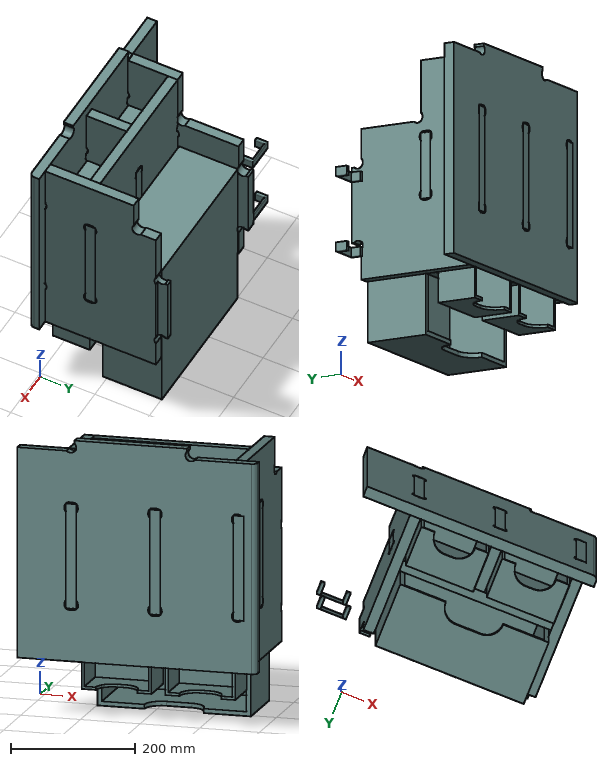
import cadquery as cq
import math

SHEET = 18.0
RELIEF_RADIUS = 9.5
CUT_SPAN = 936.0

HEIGHT = 350.0
FRONT_WIDTH = 400.0
LEFT_X = 81.5
RIGHT_OVERHANG = 20.0
BACK_Y = 220.5
SHELF_Y = 91.3
TAB_LENGTH = 174.0
FRONT_EDGE_RADIUS = 8.0

LEFT_INNER_X = LEFT_X + SHEET
RIGHT_X = FRONT_WIDTH - RIGHT_OVERHANG
RIGHT_INNER_X = RIGHT_X - SHEET
DIVIDER_X = (LEFT_INNER_X + RIGHT_INNER_X - SHEET) / 2
SHELF_BACK_Y = SHELF_Y + SHEET
MIDDLE_Z = HEIGHT / 2
TAB_Z = (MIDDLE_Z - TAB_LENGTH / 2, MIDDLE_Z + TAB_LENGTH / 2)

TOP_TAB_X = (96.0, 284.5)

LEFT_STEP_Z = 250.0
RIGHT_STEP_Y = 179.5
RIGHT_STEP_Z = 289.0
BACK_TAB_Z = (LEFT_STEP_Z / 4, LEFT_STEP_Z * 3 / 4)
RIGHT_BACK_TAB_THICKNESS = 10.8

SHELF_LEFT_TAB_LENGTH = 109.5
SHELF_LEFT_TAB_Z = (MIDDLE_Z - SHELF_LEFT_TAB_LENGTH / 2, MIDDLE_Z + SHELF_LEFT_TAB_LENGTH / 2)

DRAWER_GAP = 3.0
DRAWER_OPEN_GAP = 3.0
DRAWER_LENGTH = 300.0
LARGE_WALL = 7.5
LARGE_PULLOUT = 100.0
LARGE_GRIP_WIDTH = 99.0
LARGE_FAR_END_DROP = 1.5
SMALL_WALL = 4.5
SMALL_PULLOUT = LARGE_PULLOUT / 2
SMALL_GRIP_WIDTH = 70.0
GRIP_DEPTH = 28.0

CLIP_WIDTH = 51.0
CLIP_DEPTH = 20.0
CLIP_HEIGHT = 15.5
CLIP_LEG = 6.5
CLIP_WEB = 3.5
CLIP_EDGE_RADIUS = 0.7
CLIP_LOW_Z = 29.5
CLIP_SPACING = 125.0


def block(x, y, z):
    """Box between the (low, high) pairs of each axis."""
    size = (x[1] - x[0], y[1] - y[0], z[1] - z[0])
    return cq.Workplane("XY").box(*size, centered=False).translate((x[0], y[0], z[0]))


def reliefs(plane, corners):
    """Cylinders that touch corners (u, v), each centred toward (du, dv) on the plane."""
    offset = RELIEF_RADIUS / math.sqrt(2)
    cutter = cq.Workplane(plane)
    for u, v, du, dv in corners:
        centre = cq.Workplane(plane).center(u + du * offset, v + dv * offset)
        cutter = cutter.union(centre.circle(RELIEF_RADIUS).extrude(CUT_SPAN, both=True))
    return cutter


def tab_reliefs(plane, edge, outward, ends):
    """Reliefs where a tab on a vertical edge meets the shoulders below and above it."""
    return reliefs(plane, [(edge, ends[0], outward, -1), (edge, ends[1], outward, 1)])


def slot(plane, low, ends, relieved_sides=(-1, 1)):
    """Through cutter one sheet wide from `low`, with reliefs on the named sides."""
    high = low + SHEET
    sides = {-1: low, 1: high}
    corners = []
    for side in relieved_sides:
        corners.append((sides[side], ends[0], -side, 1))
        corners.append((sides[side], ends[1], -side, -1))
    opening = (
        cq.Workplane(plane)
        .center((low + high) / 2, sum(ends) / 2)
        .rect(SHEET, ends[1] - ends[0])
        .extrude(CUT_SPAN, both=True)
    )
    return opening.union(reliefs(plane, corners))


def make_front_panel():
    panel = block((0, FRONT_WIDTH), (0, SHEET), (0, HEIGHT))
    panel = panel.edges("|Z and >X and <Y").fillet(FRONT_EDGE_RADIUS)
    panel = panel.union(block(TOP_TAB_X, (0, SHEET), (HEIGHT, HEIGHT + SHEET)))
    panel = panel.cut(reliefs("XZ", [(TOP_TAB_X[0], HEIGHT, -1, 1), (TOP_TAB_X[1], HEIGHT, 1, 1)]))
    panel = panel.cut(slot("XZ", LEFT_X, TAB_Z))
    panel = panel.cut(slot("XZ", DIVIDER_X, TAB_Z))
    return panel.cut(slot("XZ", RIGHT_INNER_X, TAB_Z, relieved_sides=(-1,)))


def make_side_panel(x, step_y, step_z, back_tab_thickness, shelf_tab_z):
    """Side panel from x, with a stepped back corner, front and back tabs and a shelf slot."""
    width = (x, x + SHEET)
    panel = block(width, (SHEET, BACK_Y), (0, HEIGHT))
    panel = panel.cut(block(width, (step_y, BACK_Y), (step_z, HEIGHT)))
    panel = panel.union(block(width, (0, SHEET), TAB_Z))
    panel = panel.union(block((x, x + back_tab_thickness), (BACK_Y, BACK_Y + SHEET), BACK_TAB_Z))
    panel = panel.cut(reliefs("YZ", [(step_y, step_z, 1, 1)]))
    panel = panel.cut(tab_reliefs("YZ", SHEET, -1, TAB_Z))
    panel = panel.cut(tab_reliefs("YZ", BACK_Y, 1, BACK_TAB_Z))
    return panel.cut(slot("YZ", SHELF_Y, shelf_tab_z))


def make_shelf():
    depth = (SHELF_Y, SHELF_BACK_Y)
    shelf = block((LEFT_INNER_X, RIGHT_INNER_X), depth, (0, HEIGHT))
    shelf = shelf.union(block((LEFT_X, LEFT_INNER_X), depth, SHELF_LEFT_TAB_Z))
    shelf = shelf.union(block((RIGHT_INNER_X, RIGHT_X), depth, TAB_Z))
    shelf = shelf.cut(tab_reliefs("XZ", LEFT_INNER_X, -1, SHELF_LEFT_TAB_Z))
    shelf = shelf.cut(tab_reliefs("XZ", RIGHT_INNER_X, 1, TAB_Z))
    return shelf.cut(slot("XZ", DIVIDER_X, TAB_Z))


def make_divider():
    width = (DIVIDER_X, DIVIDER_X + SHEET)
    divider = block(width, (SHEET, SHELF_Y), (0, HEIGHT))
    divider = divider.union(block(width, (0, SHELF_BACK_Y), TAB_Z))
    divider = divider.cut(tab_reliefs("YZ", SHEET, -1, TAB_Z))
    return divider.cut(tab_reliefs("YZ", SHELF_Y, 1, TAB_Z))


def make_drawer(x, y, pullout, wall, grip_width, far_end_drop=0.0):
    """Tray open toward -Y, with a rounded grip cut into the edge of its lower end plate."""
    z = (-pullout, DRAWER_LENGTH - pullout)
    drawer = block(x, y, z)
    drawer = drawer.cut(
        block((x[0] + wall, x[1] - wall), (y[0], y[1] - wall), (z[0] + wall, z[1] - wall))
    )
    plate_z = (z[0], z[0] + wall)
    if far_end_drop > 0:
        drawer = drawer.cut(block(x, (y[0], y[0] + far_end_drop), (z[1] - wall, z[1])))
    middle_x = sum(x) / 2
    grip_x = (middle_x - grip_width / 2, middle_x + grip_width / 2)
    grip = block(grip_x, (y[0] - wall, y[0] + GRIP_DEPTH), plate_z)
    grip = grip.edges("|Z and >Y").fillet(GRIP_DEPTH)
    return drawer.cut(grip)


def make_large_drawer():
    x = (LEFT_INNER_X + DRAWER_GAP, RIGHT_INNER_X - DRAWER_GAP)
    y = (SHELF_BACK_Y + DRAWER_OPEN_GAP, BACK_Y)
    return make_drawer(x, y, LARGE_PULLOUT, LARGE_WALL, LARGE_GRIP_WIDTH, LARGE_FAR_END_DROP)


def make_small_drawer(bay_left, bay_right):
    x = (bay_left + DRAWER_GAP, bay_right - DRAWER_GAP)
    y = (SHEET + DRAWER_OPEN_GAP, SHELF_Y - DRAWER_GAP)
    return make_drawer(x, y, SMALL_PULLOUT, SMALL_WALL, SMALL_GRIP_WIDTH)


def make_clip(z):
    """U-shaped clip with its web at the back."""
    height = (z, z + CLIP_HEIGHT)
    clip = block((0, CLIP_WIDTH), (BACK_Y - CLIP_DEPTH, BACK_Y), height)
    clip = clip.cut(
        block((CLIP_LEG, CLIP_WIDTH - CLIP_LEG), (BACK_Y - CLIP_DEPTH, BACK_Y - CLIP_WEB), height)
    )
    return clip.edges("not |Z").fillet(CLIP_EDGE_RADIUS)


front_panel = make_front_panel()
left_panel = make_side_panel(LEFT_X, SHELF_BACK_Y, LEFT_STEP_Z, SHEET, SHELF_LEFT_TAB_Z)
right_panel = make_side_panel(
    RIGHT_INNER_X, RIGHT_STEP_Y, RIGHT_STEP_Z, RIGHT_BACK_TAB_THICKNESS, TAB_Z
)
shelf = make_shelf()
divider = make_divider()
large_drawer = make_large_drawer()

small_drawers = []
for bay in ((LEFT_INNER_X, DIVIDER_X), (DIVIDER_X + SHEET, RIGHT_INNER_X)):
    small_drawers.append(make_small_drawer(*bay))

clips = []
for level in range(2):
    clips.append(make_clip(CLIP_LOW_Z + level * CLIP_SPACING))

bodies = [front_panel, left_panel, right_panel, shelf, divider, large_drawer, *small_drawers, *clips]
result = cq.Compound.makeCompound([body.val() for body in bodies])